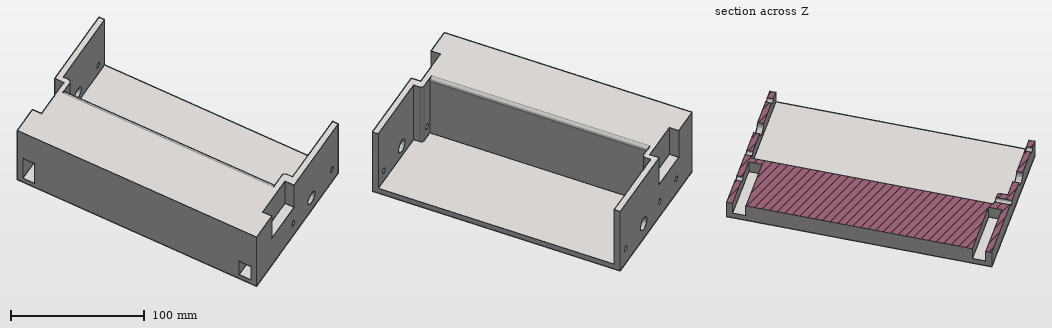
import cadquery as cq

LENGTH = 206.0
DEPTH = 124.0
HEIGHT = 59.7
WALL = 5.0

BLOCK_DEPTH = 51.0
EDGE_ROUND = 3.0

NOTCH_FRONT = 23.0
NOTCH_BACK = 56.9
NOTCH_IN = 7.8
NOTCH_BOTTOM = 33.0

LEFT_HOUSING_WIDTH = 12.0
LEFT_HOUSING_BACK = 61.2
RIGHT_HOUSING_WIDTH = 12.5
RIGHT_HOUSING_BACK = 63.2
HOUSING_ROUND = 2.5

POCKET_WIDTH = 10.0
POCKET_DEPTH = BLOCK_DEPTH - WALL
LEFT_POCKET_TOP = 28.8
RIGHT_POCKET_TOP = 21.0

HOLE_HEIGHT = 14.8
SMALL_HOLE = 4.3
LARGE_HOLE = 11.0
POCKET_HOLE_Y = 27.5
MIDDLE_HOLE_Y = 55.6
LARGE_HOLE_Y = 83.5
REAR_HOLE_Y = 114.3


def box(x_range, y_range, z_range):
    """Axis-aligned box given by its limits along X, Y and Z."""
    size = [high - low for low, high in (x_range, y_range, z_range)]
    corner = (x_range[0], y_range[0], z_range[0])
    return cq.Workplane("XY").box(*size, centered=False).translate(corner)


def cross_hole(diameter, y, length):
    """Cylinder along +X that starts at the left face."""
    return cq.Workplane("YZ").center(y, HOLE_HEIGHT).circle(diameter / 2).extrude(length)


def tray():
    """Floor, two side walls and front block, open at the back and at the top."""
    cavity = box((WALL, LENGTH - WALL), (BLOCK_DEPTH, DEPTH), (WALL, HEIGHT))
    return box((0, LENGTH), (0, DEPTH), (0, HEIGHT)).cut(cavity)


def rounded_edge():
    """Sliver that rounds the rear top edge of the front block."""
    corner = box((0, LENGTH), (BLOCK_DEPTH - EDGE_ROUND, BLOCK_DEPTH), (HEIGHT - EDGE_ROUND, HEIGHT))
    rod = (
        cq.Workplane("YZ")
        .center(BLOCK_DEPTH - EDGE_ROUND, HEIGHT - EDGE_ROUND)
        .circle(EDGE_ROUND)
        .extrude(LENGTH)
    )
    return corner.cut(rod)


def housing(x_range, back, bottom, inner_edge):
    """Block around a notch, with its free vertical edge rounded."""
    block = box(x_range, (NOTCH_FRONT, back), (bottom, HEIGHT))
    return block.edges(inner_edge).fillet(HOUSING_ROUND)


def notch(x_start):
    """Cutter for a side notch, from its floor up through the top."""
    x_range = (x_start, x_start + NOTCH_IN)
    return box(x_range, (NOTCH_FRONT, NOTCH_BACK), (NOTCH_BOTTOM, HEIGHT))


def front_pocket(x_start, top):
    """Cutter for a blind pocket that enters through the front face."""
    return box((x_start, x_start + POCKET_WIDTH), (0, POCKET_DEPTH), (WALL, top))


result = tray().cut(rounded_edge())

left_span = (0, LEFT_HOUSING_WIDTH)
right_span = (LENGTH - RIGHT_HOUSING_WIDTH, LENGTH)
result = result.union(housing(left_span, LEFT_HOUSING_BACK, NOTCH_BOTTOM, "|Z and >X and >Y"))
result = result.union(housing(right_span, RIGHT_HOUSING_BACK, WALL, "|Z and <X and >Y"))

for notch_start in (0, LENGTH - NOTCH_IN):
    result = result.cut(notch(notch_start))

result = result.cut(front_pocket(WALL, LEFT_POCKET_TOP))
result = result.cut(front_pocket(LENGTH - WALL - POCKET_WIDTH, RIGHT_POCKET_TOP))

through_holes = [(SMALL_HOLE, REAR_HOLE_Y), (LARGE_HOLE, LARGE_HOLE_Y), (SMALL_HOLE, MIDDLE_HOLE_Y)]
for diameter, hole_y in through_holes:
    result = result.cut(cross_hole(diameter, hole_y, LENGTH))
pocket_middle = WALL + POCKET_WIDTH / 2
result = result.cut(cross_hole(SMALL_HOLE, POCKET_HOLE_Y, pocket_middle))